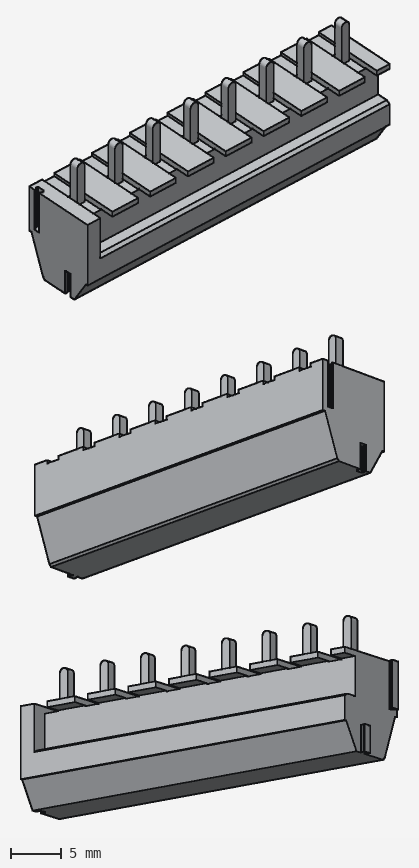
import cadquery as cq

pole_count = 8
housing_width = 8.6
housing_height = 10.25
housing_length = 40.0
pitch = housing_length / pole_count
first_pole_y = pitch / 2

left_step = 0.32
left_shoulder_z = 4.8
right_step = 0.25
right_shoulder_z = 2.8
bottom_left_x = 2.27
bottom_right_x = 6.65
bottom_break = 0.25

channel_width = 1.6
channel_depth = 0.35
pin_seat_start_x = 3.5
pin_seat_depth = 0.7

recess_start_x = 6.9
recess_lip_x = 8.15
rib_thickness = 0.6
recess_height = 4.05
recess_lip_drop = 0.265
end_wall = first_pole_y - channel_width / 2

pin_size = 1.0
pin_center_x = 4.35
pin_top_z = 14.5
pin_root = 0.4

rail_height = 0.6
rail_neck_length = 0.12
rail_lip = 0.15
groove_depth = 0.6
groove_lip = 0.25
groove_mouth_break = 0.12
groove_mouth_depth = 0.05
groove_back_break = 0.1
upper_dovetail_x = 1.1
upper_dovetail_neck = 0.5
upper_dovetail_head = 0.97
upper_dovetail_height = 4.87
lower_dovetail_x = 5.7
lower_dovetail_neck = 0.6
lower_dovetail_head = 0.85
lower_dovetail_height = 2.8


def housing_block():
    outline = [
        (0, housing_height),
        (0, left_shoulder_z),
        (left_step, left_shoulder_z),
        (bottom_left_x - bottom_break, bottom_break),
        (bottom_left_x, 0),
        (bottom_right_x, 0),
        (housing_width - right_step, right_shoulder_z),
        (housing_width, right_shoulder_z),
        (housing_width, housing_height),
    ]
    return cq.Workplane("XZ").polyline(outline).close().extrude(-housing_length)


def pole_channel(y):
    channel = cq.Workplane("XY").box(
        housing_width, channel_width, channel_depth, centered=(False, True, False)
    ).translate((0, y, housing_height - channel_depth))
    seat = cq.Workplane("XY").box(
        housing_width - pin_seat_start_x, channel_width, pin_seat_depth, centered=(False, True, False)
    ).translate((pin_seat_start_x, y, housing_height - pin_seat_depth))
    return channel.union(seat)


def side_recess():
    top_z = housing_height - rib_thickness
    floor_z = top_z - recess_height
    profile = [
        (recess_start_x, top_z),
        (recess_start_x, floor_z),
        (recess_lip_x, floor_z),
        (housing_width, floor_z - recess_lip_drop),
        (housing_width, top_z),
    ]
    length = housing_length - end_wall
    return cq.Workplane("XZ").polyline(profile).close().extrude(-length).translate((0, end_wall, 0))


def solder_pin(y):
    root_z = housing_height - pin_seat_depth - pin_root
    radius = pin_size / 2
    return (
        cq.Workplane("YZ")
        .moveTo(y - radius, root_z)
        .lineTo(y - radius, pin_top_z - radius)
        .threePointArc((y, pin_top_z), (y + radius, pin_top_z - radius))
        .lineTo(y + radius, root_z)
        .close()
        .extrude(pin_size)
        .translate((pin_center_x - radius, 0, 0))
    )


def upright_prism(half_outline, center_x, base_y, base_z, height):
    """Prism along Z, mirrored about center_x, from (half width, distance along Y) points."""
    left_side = [(center_x - half, base_y + y) for half, y in half_outline]
    right_side = [(center_x + half, base_y + y) for half, y in reversed(half_outline)]
    return (
        cq.Workplane("XY", origin=(0, 0, base_z)).polyline(left_side + right_side).close().extrude(height)
    )


def rail_outline(neck, head):
    return [
        (neck / 2, 0),
        (neck / 2, rail_neck_length),
        (head / 2, rail_height - rail_lip),
        (head / 2, rail_height),
    ]


def groove_outline(neck, head):
    return [
        (neck / 2 + groove_mouth_break, 0),
        (neck / 2, groove_mouth_depth),
        (head / 2, groove_depth - groove_lip),
        (head / 2, groove_depth - groove_back_break),
        (head / 2 - groove_back_break, groove_depth),
    ]


def dovetail_pair(outline, base_y):
    upper = upright_prism(
        outline(upper_dovetail_neck, upper_dovetail_head),
        upper_dovetail_x,
        base_y,
        housing_height - upper_dovetail_height,
        upper_dovetail_height,
    )
    lower = upright_prism(
        outline(lower_dovetail_neck, lower_dovetail_head),
        lower_dovetail_x,
        base_y,
        0,
        lower_dovetail_height,
    )
    return upper.union(lower)


result = housing_block().cut(side_recess())
pole_positions = [first_pole_y + i * pitch for i in range(pole_count)]
for pole_y in pole_positions:
    result = result.cut(pole_channel(pole_y))
for pole_y in pole_positions:
    result = result.union(solder_pin(pole_y))
result = result.union(dovetail_pair(rail_outline, housing_length))
result = result.cut(dovetail_pair(groove_outline, 0))